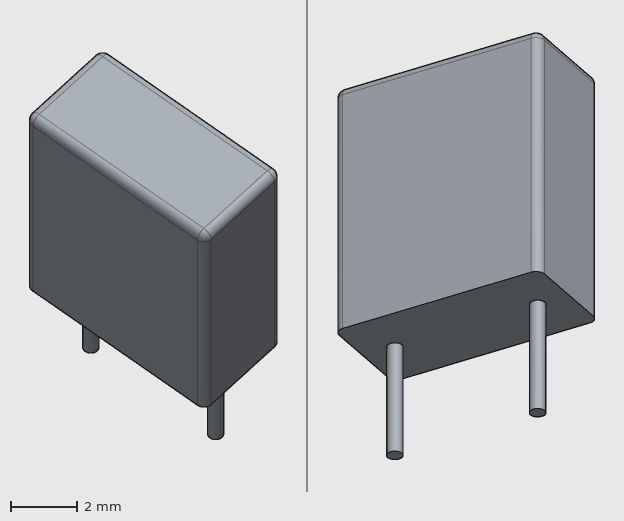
import cadquery as cq

housing_length = 7.2
housing_width = 3.5
overall_height = 12.3
lead_length = 3.8
housing_height = overall_height - lead_length
edge_radius = 0.3

lead_diameter = 0.5
lead_spacing = 5.0


def make_housing():
    """Block with rounded upright and top edges and a sharp bottom rim."""
    block = cq.Workplane("XY").box(
        housing_length, housing_width, housing_height, centered=(True, True, False)
    )
    return block.edges("|Z or >Z").fillet(edge_radius)


def make_lead(x):
    """Straight lead hanging from the underside of the housing."""
    return cq.Workplane("XY").center(x, 0).circle(lead_diameter / 2).extrude(-lead_length)


housing = make_housing()
leads = [make_lead(side * lead_spacing / 2) for side in (-1, 1)]

result = cq.Compound.makeCompound([housing.val(), *[lead.val() for lead in leads]])